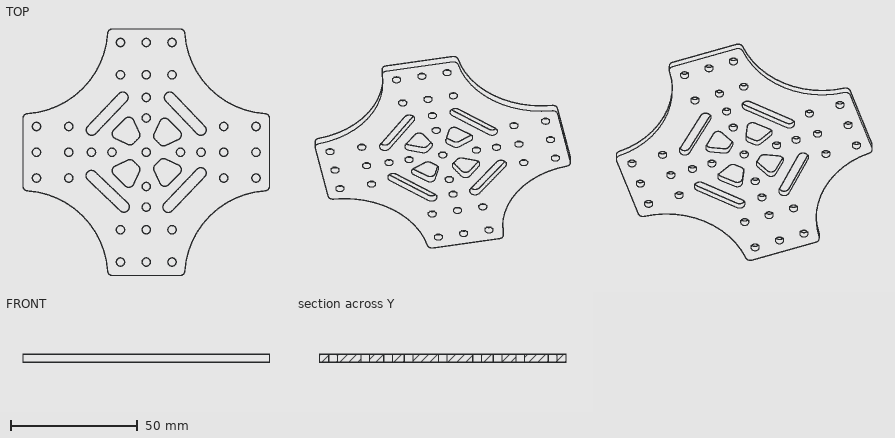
import cadquery as cq
import math

plate_width = 97.32
plate_thickness = 3.17
bite_center_offset = 49.0
bite_radius = 33.8
arm_corner_radius = 2.0

hole_diameter = 3.2
hole_row_distances = (30.55, 43.27)
hole_row_pitch = 10.16
axis_hole_distances = (13.5, 21.6)

slot_width = 4.2
slot_ends = (
    ((9.28, 21.6), (21.5, 8.8)),
    ((-9.28, 21.6), (-21.5, 8.8)),
    ((-21.6, -9.28), (-8.8, -21.5)),
    ((21.5, -8.2), (8.7, -21.6)),
)

window_inner_half_width = 2.72
window_outer_half_width = 6.05
window_length = 9.16
window_corner_radius = 2.0
window_near_offset = 4.07
window_far_offset = 4.48
window_placements = (
    ((window_far_offset, window_near_offset), 45),
    ((-window_near_offset, window_far_offset), 135),
    ((-window_near_offset, -window_far_offset), 225),
    ((window_far_offset, -window_near_offset), 315),
)

cut_height = 2 * plate_thickness


def turned(point, quarter_turns):
    """Point rotated about the Z axis by a whole number of quarter turns."""
    x, y = point
    for _ in range(quarter_turns):
        x, y = -y, x
    return x, y


def make_plate():
    plate = cq.Workplane("XY").rect(plate_width, plate_width).extrude(plate_thickness)
    bites = (
        cq.Workplane("XY")
        .rect(2 * bite_center_offset, 2 * bite_center_offset, forConstruction=True)
        .vertices()
        .circle(bite_radius)
        .extrude(cut_height)
    )
    return plate.cut(bites).edges("|Z").fillet(arm_corner_radius)


def make_holes():
    arm_points = [(distance, 0) for distance in axis_hole_distances]
    for distance in hole_row_distances:
        arm_points += [(distance, side * hole_row_pitch) for side in (-1, 0, 1)]
    points = [(0, 0)]
    for quarter_turns in range(4):
        points += [turned(point, quarter_turns) for point in arm_points]
    return cq.Workplane("XY").pushPoints(points).circle(hole_diameter / 2).extrude(cut_height)


def make_slot(start, end):
    run = end[0] - start[0]
    rise = end[1] - start[1]
    middle = ((start[0] + end[0]) / 2, (start[1] + end[1]) / 2)
    overall_length = math.hypot(run, rise) + slot_width
    angle = math.degrees(math.atan2(rise, run))
    return cq.Workplane("XY").center(*middle).slot2D(overall_length, slot_width, angle).extrude(cut_height)


def make_window(inner_middle, direction):
    corners = [
        (0, -window_inner_half_width),
        (window_length, -window_outer_half_width),
        (window_length, window_outer_half_width),
        (0, window_inner_half_width),
    ]
    window = cq.Workplane("XY").polyline(corners).close().extrude(cut_height)
    window = window.edges("|Z").fillet(window_corner_radius)
    return window.rotate((0, 0, 0), (0, 0, 1), direction).translate((*inner_middle, 0))


result = make_plate().cut(make_holes())
for start, end in slot_ends:
    result = result.cut(make_slot(start, end))
for inner_middle, direction in window_placements:
    result = result.cut(make_window(inner_middle, direction))